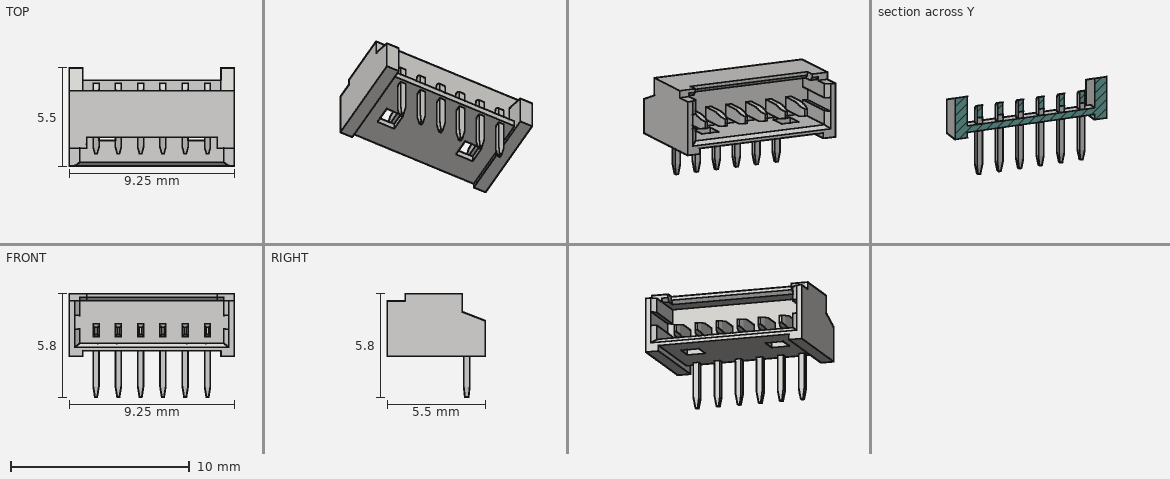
import cadquery as cq


WIDTH = 9.25
DEPTH = 5.5
HEIGHT = 3.515
FOOT_WIDTH = 0.76
FOOT_HEIGHT = 0.31

EAR_LENGTH = 1.29
EAR_REAR_HEIGHT = 2.0
EAR_FRONT_HEIGHT = 2.5
PLATE_SETBACK = 0.69

CAVITY_WIDTH = 8.07
CAVITY_DEPTH = 2.91
FLOOR = 0.73
ROOF_THICKNESS = 0.41
MOUTH_WIDTH = 8.64
MOUTH_FLOOR = 0.51
LEAD_IN = 0.2

SHELF_DEPTH = 1.01
NOTCH_WIDTH = 7.31
NOTCH_DEPTH = 1.61

SLOT_CENTRE_Z = 1.915
SLOT_OPENING = 0.74
SLOT_BASE = 0.805

WINDOW_WIDTH = 1.05
WINDOW_FRONT = 1.43
WINDOW_BACK = 2.52

PIN_COUNT = 6
PITCH = 1.25
PIN_WIDTH = 0.33
BLADE_BOTTOM = 1.1
BLADE_TOP = 1.83
BLADE_TIP_Y = 0.69
BLADE_TIP_WIDTH = 0.13
BLADE_TIP_BOTTOM = 1.23
BLADE_TIP_TOP = 1.63
TOP_TAPER_Y = 1.67
BOTTOM_TAPER_Y = 1.22
SIDE_TAPER_Y = 1.06
LEG_THICKNESS = 0.35
LEG_SETBACK = 0.87
LEG_LENGTH = 2.285
LEG_TIP_LENGTH = 0.6
LEG_TIP_WIDTH = 0.14
LEG_TIP_THICKNESS = 0.22
ELBOW_RADIUS = 0.43

CEILING = HEIGHT - ROOF_THICKNESS
WALL_BACK = DEPTH - EAR_LENGTH
LEG_BACK = DEPTH - LEG_SETBACK
LEG_FRONT = LEG_BACK - LEG_THICKNESS
GAP_WIDTH = WIDTH - 2 * FOOT_WIDTH
PIN_XS = [(i - (PIN_COUNT - 1) / 2) * PITCH for i in range(PIN_COUNT)]


def block(width, y0, y1, z0, z1, x=0):
    """Box centred on x, between two Y and two Z positions."""
    return cq.Workplane("XY").box(width, y1 - y0, z1 - z0).translate((x, (y0 + y1) / 2, (z0 + z1) / 2))


def side_prism(points, width):
    """Closed (Y, Z) outline extruded along X, centred on X = 0."""
    return cq.Workplane("YZ").polyline(points).close().extrude(width / 2, both=True)


def make_body():
    outline = [
        (0, 0),
        (DEPTH, 0),
        (DEPTH, EAR_REAR_HEIGHT),
        (WALL_BACK, EAR_FRONT_HEIGHT),
        (WALL_BACK, HEIGHT),
        (SHELF_DEPTH, HEIGHT),
        (SHELF_DEPTH, CEILING),
        (0, CEILING),
    ]
    body = side_prism(outline, WIDTH)
    body = body.cut(block(GAP_WIDTH, 0, DEPTH, 0, FOOT_HEIGHT))
    body = body.cut(block(GAP_WIDTH, DEPTH - PLATE_SETBACK, DEPTH, 0, HEIGHT))
    return body.cut(block(GAP_WIDTH, WALL_BACK, DEPTH, FLOOR, HEIGHT))


def make_mouth():
    """Bevelled entry: widens at both sides and drops at the floor."""
    mouth_height = CEILING - MOUTH_FLOOR
    cavity_height = CEILING - FLOOR
    return (
        cq.Workplane("XZ")
        .center(0, CEILING - mouth_height / 2)
        .rect(MOUTH_WIDTH, mouth_height)
        .workplane(offset=-LEAD_IN)
        .center(0, (mouth_height - cavity_height) / 2)
        .rect(CAVITY_WIDTH, cavity_height)
        .loft(ruled=True)
    )


def make_roof_bevel(width, y):
    """Bevel under the front edge of the roof standing at y."""
    return side_prism([(y, CEILING), (y + LEAD_IN, CEILING), (y, CEILING + LEAD_IN)], width)


def make_key_slot(side):
    """Dovetail slot that is taller at its base than at its opening."""
    opening_x = side * CAVITY_WIDTH / 2
    base_x = side * MOUTH_WIDTH / 2
    outline = [
        (opening_x, SLOT_CENTRE_Z - SLOT_OPENING / 2),
        (base_x, SLOT_CENTRE_Z - SLOT_BASE / 2),
        (base_x, SLOT_CENTRE_Z + SLOT_BASE / 2),
        (opening_x, SLOT_CENTRE_Z + SLOT_OPENING / 2),
    ]
    return cq.Workplane("XZ").polyline(outline).close().extrude(-CAVITY_DEPTH)


def make_housing():
    housing = make_body()
    housing = housing.cut(block(CAVITY_WIDTH, 0, CAVITY_DEPTH, FLOOR, CEILING))
    housing = housing.cut(make_mouth())
    housing = housing.cut(block(NOTCH_WIDTH, 0, NOTCH_DEPTH, CEILING, HEIGHT))
    housing = housing.cut(make_roof_bevel(CAVITY_WIDTH, SHELF_DEPTH))
    housing = housing.cut(make_roof_bevel(NOTCH_WIDTH, NOTCH_DEPTH))
    window_x = (PIN_XS[-1] + PIN_XS[-2]) / 2
    for side in (-1, 1):
        housing = housing.cut(make_key_slot(side))
        window = block(WINDOW_WIDTH, WINDOW_FRONT, WINDOW_BACK, 0, FLOOR, side * window_x)
        housing = housing.cut(window)
    return housing


def make_blade():
    """Horizontal part of a pin, tapered in height and in width."""
    profile = [
        (BLADE_TIP_Y, BLADE_TIP_BOTTOM),
        (BOTTOM_TAPER_Y, BLADE_BOTTOM),
        (LEG_BACK, BLADE_BOTTOM),
        (LEG_BACK, BLADE_TOP),
        (TOP_TAPER_Y, BLADE_TOP),
        (BLADE_TIP_Y, BLADE_TIP_TOP),
    ]
    plan = [
        (-BLADE_TIP_WIDTH / 2, BLADE_TIP_Y),
        (BLADE_TIP_WIDTH / 2, BLADE_TIP_Y),
        (PIN_WIDTH / 2, SIDE_TAPER_Y),
        (PIN_WIDTH / 2, LEG_BACK),
        (-PIN_WIDTH / 2, LEG_BACK),
        (-PIN_WIDTH / 2, SIDE_TAPER_Y),
    ]
    blade = side_prism(profile, PIN_WIDTH)
    blade = blade.intersect(cq.Workplane("XY").polyline(plan).close().extrude(HEIGHT))
    return blade.edges("|X and >Y and >Z").fillet(ELBOW_RADIUS)


def make_leg():
    """Vertical part of a pin, ending in a tapered tip."""
    taper_z = LEG_TIP_LENGTH - LEG_LENGTH
    tip = (
        cq.Workplane("XY")
        .workplane(offset=taper_z)
        .center(0, (LEG_FRONT + LEG_BACK) / 2)
        .rect(PIN_WIDTH, LEG_THICKNESS)
        .workplane(offset=-LEG_TIP_LENGTH)
        .rect(LEG_TIP_WIDTH, LEG_TIP_THICKNESS)
        .loft(ruled=True)
    )
    return block(PIN_WIDTH, LEG_FRONT, LEG_BACK, taper_z, BLADE_BOTTOM).union(tip)


result = make_housing()
pin = make_blade().union(make_leg())
for pin_x in PIN_XS:
    result = result.union(pin.translate((pin_x, 0, 0)))